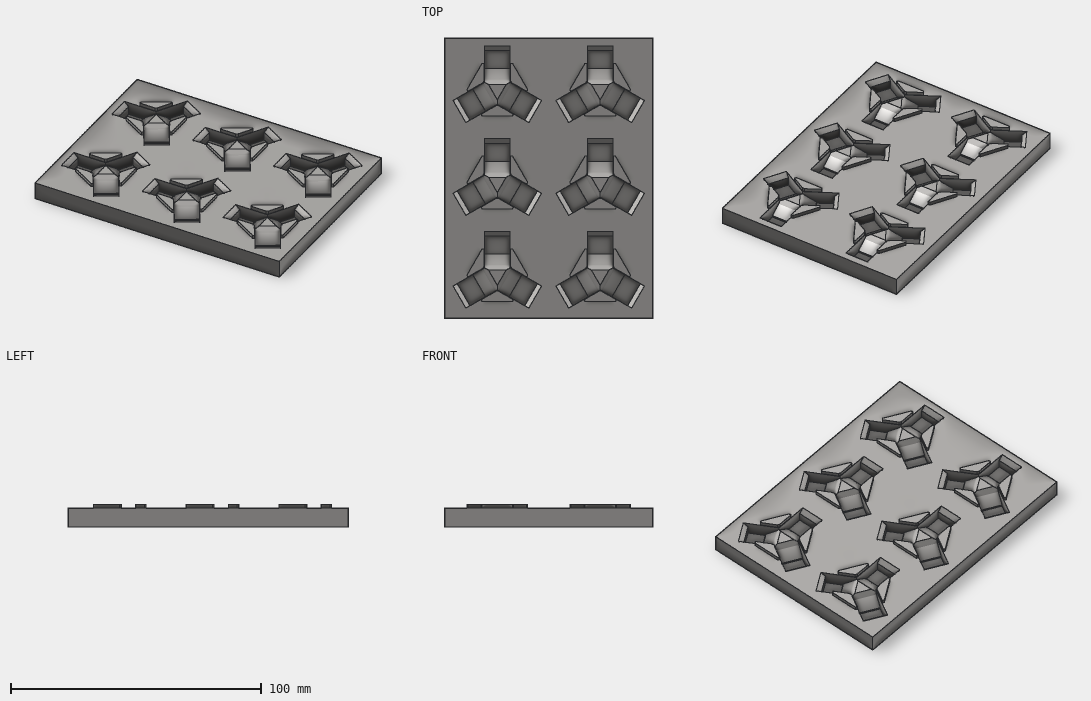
import cadquery as cq
import math

plate_length_x = 83.0
plate_length_y = 111.7
overall_height = 9.0
pad_height = 1.5
plate_thickness = overall_height - pad_height

columns = 2
rows = 3
pitch_x = 41.0
pitch_y = 37.0
grid_offset_y = -1.7
arms_per_pocket = 3
arm_spacing = 360.0 / arms_per_pocket

arm_width = 10.2
hub_edge = 2.0
steep_ramp_length = 1.9
steep_ramp_depth = 1.9
ramp_end = 8.4
ramp_end_depth = 4.9
floor_depth = 5.6
end_bevel = 1.9
arm_end = 17.4

pad_outer_distance = 10.5
pad_inner_distance = 6.4
pad_clearance = 0.17


def around_pocket(shape):
    """Return one copy of a shape for each arm direction, turned about Z."""
    return [
        shape.rotate((0, 0, 0), (0, 0, 1), arm * arm_spacing)
        for arm in range(arms_per_pocket)
    ]


def arm_cutter():
    """Slot along +Y: two ramps down from the hub, a step to a flat floor, a bevelled end wall."""
    floor_end = arm_end - end_bevel
    profile = [
        (hub_edge, 0),
        (hub_edge + steep_ramp_length, -steep_ramp_depth),
        (ramp_end, -ramp_end_depth),
        (ramp_end, -floor_depth),
        (floor_end, -floor_depth),
        (floor_end, -end_bevel),
        (arm_end, 0),
    ]
    return cq.Workplane("YZ").polyline(profile).close().extrude(arm_width / 2, both=True)


def hexagon(flat_distance):
    """Prism of pad height with flats facing +Y and -Y, each flat_distance from the centre."""
    corner_diameter = 2 * flat_distance / math.cos(math.radians(30))
    return cq.Workplane("XY").polygon(6, corner_diameter).extrude(pad_height)


def pocket_pads():
    """Hexagonal ring split into three pads by channels slightly wider than the arms."""
    pads = hexagon(pad_outer_distance).cut(hexagon(pad_inner_distance))
    channel = cq.Workplane("XY").box(
        arm_width + 2 * pad_clearance, arm_end, pad_height, centered=(True, False, False)
    )
    for arm_channel in around_pocket(channel):
        pads = pads.cut(arm_channel)
    return pads


pocket_centres = [
    (
        (column - (columns - 1) / 2) * pitch_x,
        (row - (rows - 1) / 2) * pitch_y + grid_offset_y,
    )
    for column in range(columns)
    for row in range(rows)
]

result = cq.Workplane("XY").box(
    plate_length_x, plate_length_y, plate_thickness, centered=(True, True, False)
)
pads = pocket_pads()
arm_cutters = around_pocket(arm_cutter())
for centre_x, centre_y in pocket_centres:
    position = (centre_x, centre_y, plate_thickness)
    result = result.union(pads.translate(position))
    for cutter in arm_cutters:
        result = result.cut(cutter.translate(position))